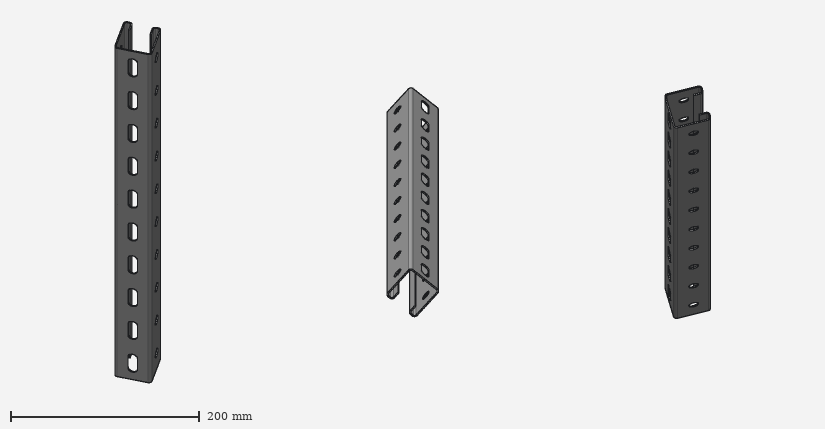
import cadquery as cq

length = 500.0
width = 41.0
depth = 41.0
wall = 1.5
outer_radius = 3.5
inner_radius = outer_radius - wall
opening = 22.0
lip_depth = 11.0

pitch = 50.0
perforation_count = 10
slot_width = 10.5
slot_length = 27.0
hole_diameter = 10.5
hole_offset = 1.0


def box(x_min, x_max, y_min, y_max):
    """Full-length box between the given section limits."""
    return (
        cq.Workplane("XY")
        .box(x_max - x_min, y_max - y_min, length, centered=False)
        .translate((x_min, y_min, -length / 2))
    )


def make_channel():
    """Square tube with rounded bends, opened between two inward lips."""
    half_width = width / 2
    half_depth = depth / 2
    lip_face = opening / 2
    lip_end = half_depth - lip_depth
    channel = box(-half_width, half_width, -half_depth, half_depth).edges("|Z").fillet(outer_radius)
    cavity = (
        box(wall - half_width, half_width - wall, wall - half_depth, half_depth - wall)
        .edges("|Z")
        .fillet(inner_radius)
    )
    channel = channel.cut(cavity)
    channel = channel.cut(box(-lip_face, lip_face, 0, half_depth))
    for side in (-1, 1):
        lip = box(lip_face, lip_face + wall, lip_end, half_depth)
        if side < 0:
            lip = lip.mirror("YZ")
        channel = channel.union(lip)
        for x, y, radius in (
            (lip_face, half_depth, outer_radius),
            (lip_face + wall, half_depth - wall, inner_radius),
        ):
            edge = cq.selectors.NearestToPointSelector((side * x, y, 0))
            channel = channel.edges(edge).fillet(radius)
    return channel


def perforation_points(offset):
    """Evenly pitched positions centred on the length, shifted sideways by offset."""
    first = -pitch * (perforation_count - 1) / 2
    return [(offset, first + i * pitch) for i in range(perforation_count)]


def make_web_slots():
    """Upright slots through the closed web at -Y."""
    return (
        cq.Workplane("XZ")
        .pushPoints(perforation_points(0))
        .slot2D(slot_length, slot_width, 90)
        .extrude(depth)
    )


def make_side_holes():
    """Round holes through both side walls."""
    return (
        cq.Workplane("YZ")
        .pushPoints(perforation_points(hole_offset))
        .circle(hole_diameter / 2)
        .extrude(width, both=True)
    )


result = make_channel().cut(make_web_slots()).cut(make_side_holes())